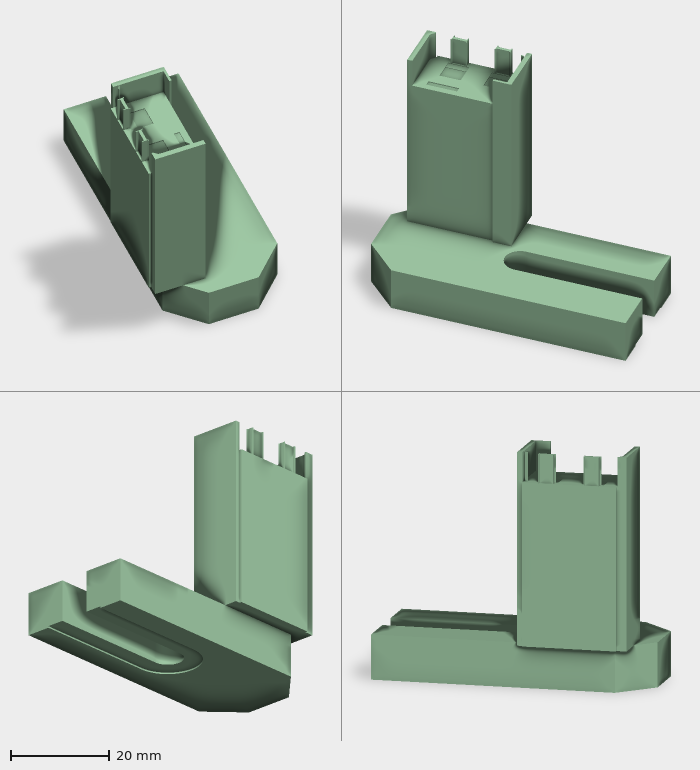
import cadquery as cq

BASE_LENGTH = 58.4
BASE_DEPTH = 25.4
BASE_HEIGHT = 9.4
BASE_CHAMFER = 7.2
SLOT_WIDTH = 6.7
SLOT_CENTER_X = 28.0
SLOT_Y = BASE_DEPTH / 2
SLOT_RECESS_WIDTH = 14.45
SLOT_RECESS_DEPTH = 0.35

TOP_Z = 49.8
CORE_TOP_Z = 43.6
WALL_LEFT_X = 31.5
WALL_RIGHT_X = 54.45
WALL_THICKNESS = 1.1
WALL_FRONT_Y = -3.0
CORE_FRONT_Y = -3.5
CORE_BACK_Y = 8.2
CORE_LEFT_X = WALL_LEFT_X + WALL_THICKNESS
RIGHT_WALL_INNER_X = WALL_RIGHT_X - WALL_THICKNESS
BACK_LIP_LENGTH = 4.1
BACK_LIP_THICKNESS = 0.5
RIGHT_LIP_WIDTH = 0.8
RIGHT_LIP_THICKNESS = 0.35
RIGHT_LIP_FILLET = 1.15
CORE_FRONT_RIGHT_X = 52.35

LEAF_START_Y = -1.35
LEAF_LENGTH = 0.95
LEAF_BEND_X = 0.3
LEAF_BEND_Y = 0.4
LEAF_TIP_Y = 0.6
LEAF_THICKNESS = 0.2

LABEL_X = 44.1
LABEL_Y = 5.55
LABEL_LENGTH = 6.7
LABEL_WIDTH = 1.2
LABEL_DEPTH = 0.25

TERMINAL_SPACING = 9.6
FIRST_TERMINAL_X = 37.55
POCKET_WIDTH = 4.6
POCKET_BACK_Y = 2.85
POCKET_STEP_Y = -0.5
POCKET_FRONT_Y = -2.0
POCKET_DEPTH = 0.25
POCKET_STEP_DEPTH = 0.1
BLADE_TOP_Z = 49.6
BLADE_WIDTH = 3.2
BLADE_FLARE = 0.2
BLADE_FLARE_LENGTH = 0.3
FLANGE_THICKNESS = 0.2
WEB_BACK_Y = -2.35
WEB_THICKNESS = 0.65


def block(x_min, x_max, y_min, y_max, z_min, z_max):
    """Box given by its limits along each axis."""
    size = (x_max - x_min, y_max - y_min, z_max - z_min)
    return cq.Workplane("XY").box(*size, centered=False).translate((x_min, y_min, z_min))


def upright(points, z_min, z_max):
    """Vertical prism over a closed outline."""
    return cq.Workplane("XY", origin=(0, 0, z_min)).polyline(points).close().extrude(z_max - z_min)


def open_slot(width, height):
    """Slot cutter from the left end of the base to a round inner end."""
    straight = block(0, SLOT_CENTER_X, SLOT_Y - width / 2, SLOT_Y + width / 2, 0, height)
    round_end = cq.Workplane("XY").center(SLOT_CENTER_X, SLOT_Y).circle(width / 2).extrude(height)
    return straight.union(round_end)


def make_base():
    base = block(0, BASE_LENGTH, 0, BASE_DEPTH, 0, BASE_HEIGHT)
    base = base.edges("|Z and >X").chamfer(BASE_CHAMFER)
    base = base.cut(open_slot(SLOT_WIDTH, BASE_HEIGHT))
    return base.cut(open_slot(SLOT_RECESS_WIDTH, SLOT_RECESS_DEPTH))


def make_left_wall():
    wall = block(WALL_LEFT_X, CORE_LEFT_X, WALL_FRONT_Y, CORE_BACK_Y, BASE_HEIGHT, TOP_Z)
    back_lip = block(
        WALL_LEFT_X, WALL_LEFT_X + BACK_LIP_LENGTH,
        CORE_BACK_Y, CORE_BACK_Y + BACK_LIP_THICKNESS,
        BASE_HEIGHT, TOP_Z,
    )
    return wall.union(back_lip)


def make_right_wall():
    lip_x = RIGHT_WALL_INNER_X - RIGHT_LIP_WIDTH
    lip_back_y = WALL_FRONT_Y + RIGHT_LIP_THICKNESS
    slope_back_y = lip_back_y + RIGHT_LIP_WIDTH
    outline = [
        (WALL_RIGHT_X, CORE_BACK_Y),
        (RIGHT_WALL_INNER_X, CORE_BACK_Y),
        (RIGHT_WALL_INNER_X, slope_back_y),
        (lip_x, lip_back_y),
        (lip_x, WALL_FRONT_Y),
        (WALL_RIGHT_X, WALL_FRONT_Y),
    ]
    wall = upright(outline, BASE_HEIGHT, TOP_Z)
    slope_start = cq.selectors.NearestToPointSelector(
        (RIGHT_WALL_INNER_X, slope_back_y, (BASE_HEIGHT + TOP_Z) / 2)
    )
    return wall.edges(slope_start).fillet(RIGHT_LIP_FILLET)


def make_core():
    middle = block(CORE_LEFT_X, RIGHT_WALL_INNER_X, WALL_FRONT_Y, CORE_BACK_Y, BASE_HEIGHT, CORE_TOP_Z)
    front = block(CORE_LEFT_X, CORE_FRONT_RIGHT_X, CORE_FRONT_Y, WALL_FRONT_Y, BASE_HEIGHT, CORE_TOP_Z)
    return middle.union(front)


def make_leaf():
    bend_x = CORE_LEFT_X + LEAF_BEND_X
    bend_y = LEAF_START_Y - LEAF_BEND_Y
    tip_y = LEAF_START_Y - LEAF_TIP_Y
    tip_x = CORE_LEFT_X + LEAF_LENGTH
    outline = [
        (CORE_LEFT_X, LEAF_START_Y),
        (bend_x, bend_y),
        (tip_x, tip_y),
        (tip_x, tip_y - LEAF_THICKNESS),
        (bend_x, bend_y - LEAF_THICKNESS),
        (CORE_LEFT_X, LEAF_START_Y - LEAF_THICKNESS),
    ]
    return upright(outline, CORE_TOP_Z, BLADE_TOP_Z)


def make_label_slot():
    return block(
        LABEL_X, LABEL_X + LABEL_LENGTH,
        LABEL_Y, LABEL_Y + LABEL_WIDTH,
        CORE_TOP_Z - LABEL_DEPTH, CORE_TOP_Z,
    )


def make_pocket(center_x):
    left_x = center_x - POCKET_WIDTH / 2
    right_x = center_x + POCKET_WIDTH / 2
    back = block(left_x, right_x, POCKET_STEP_Y, POCKET_BACK_Y, CORE_TOP_Z - POCKET_DEPTH, CORE_TOP_Z)
    step = block(left_x, right_x, POCKET_FRONT_Y, POCKET_STEP_Y, CORE_TOP_Z - POCKET_STEP_DEPTH, CORE_TOP_Z)
    return back.union(step)


def make_blade(center_x):
    """Web between two thin flanges that flare outward at the back."""
    half_width = BLADE_WIDTH / 2
    blade = block(
        center_x - half_width, center_x + half_width,
        WEB_BACK_Y - WEB_THICKNESS, WEB_BACK_Y,
        CORE_TOP_Z, BLADE_TOP_Z,
    )
    for side in (-1, 1):
        outer_x = center_x + side * half_width
        inner_x = outer_x - side * FLANGE_THICKNESS
        flange = [
            (outer_x, CORE_FRONT_Y),
            (outer_x, POCKET_FRONT_Y - BLADE_FLARE_LENGTH),
            (outer_x + side * BLADE_FLARE, POCKET_FRONT_Y),
            (inner_x + side * BLADE_FLARE, POCKET_FRONT_Y),
            (inner_x, POCKET_FRONT_Y - BLADE_FLARE_LENGTH),
            (inner_x, CORE_FRONT_Y),
        ]
        blade = blade.union(upright(flange, CORE_TOP_Z, BLADE_TOP_Z))
    return blade


def make_housing():
    housing = make_core().union(make_left_wall()).union(make_right_wall()).union(make_leaf())
    housing = housing.cut(make_label_slot())
    for center_x in (FIRST_TERMINAL_X, FIRST_TERMINAL_X + TERMINAL_SPACING):
        housing = housing.cut(make_pocket(center_x)).union(make_blade(center_x))
    return housing


base = make_base()
housing = make_housing()

result = cq.Compound.makeCompound([base.val(), housing.val()])